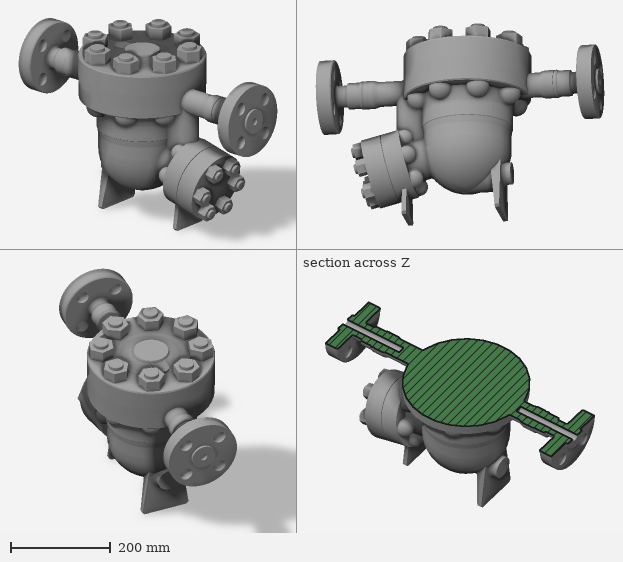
import cadquery as cq
import math


edge_tolerance = 0.01

flange_dia = 258.0
cover_top = 70.0
joint_z = 29.0
flange_bottom = -23.0
flange_draft = 1.0
cover_chamfer = 3.0
flange_chamfer = 2.5
neck_radius = 92.0
neck_flare = 4.0
flare_bottom = -52.0
neck_bottom = -84.5
neck_step = 1.0
bowl_radius = 89.0
cone_bottom = -98.5
bowl_top_z = -126.6
bowl_bottom_z = -219.0

pad_dia = 142.0
pad_height = 0.6
dome_foot_radius = 59.5
dome_ring_radius = 48.0
dome_ring_z = 72.3
boss_foot_radius = 37.0
boss_foot_z = 75.0
boss_dia = 70.0
boss_top = 80.0
arm_width = 30.0
arm_reach = 70.0
arm_top = 75.4

main_bolt_count = 8
main_bolt_circle = 200.0
main_nut_flats = 46.0
main_nut_height = 24.0
main_nut_twist = 37.5
main_stud_dia = 30.0
main_stud_top = 101.5
stud_chamfer = 1.0
main_bolt_angles = [(i + 0.5) * 360.0 / main_bolt_count for i in range(main_bolt_count)]
main_boss_radius = 23.0
main_boss_reach = 26.0
main_boss_fillet = 3.0

pipe_mid_x = 15.2
face_half_span = 286.0
raised_face_dia = 50.8
raised_face_height = 5.0
end_flange_dia = 149.0
end_flange_thickness = 30.3
end_flange_chamfer = 2.0
hub_dia = 44.0
hub_fillet = 4.0
hub_length = 21.3
adapter_dia = 53.0
adapter_length = 26.5
adapter_chamfer = 2.0
bead_width = 8.5
bead_height = 2.0
collar_dia = 56.6
collar_length = 20.0
collar_taper = 10.5
pipe_dia = 50.0
pipe_bore = 15.0
bore_depth = 140.0
flange_hole_dia = 26.0
flange_hole_spacing = 72.2

side_tilt = 13.2
side_axis_z = -122.5
side_origin = cq.Vector(0, 0, side_axis_z)
side_axis = cq.Vector(math.cos(math.radians(side_tilt)), 0, -math.sin(math.radians(side_tilt)))
side_dia = 142.0
side_neck_dia = 83.0
side_root_fillet = 7.0
side_flange_back = 123.0
side_joint = 160.5
side_gap = 1.5
side_gasket_dia = 136.0
side_cover_end = 202.2
side_bolt_count = 6
side_bolt_circle = 103.0
side_nut_flats = 30.0
side_nut_height = 19.0
side_stud_dia = 20.0
side_stud_height = 24.5
side_boss_radius = 18.0
side_boss_reach = 24.0
side_boss_fillet = 3.0

riser_radius = 23.0
riser_centre_x = 121.3
riser_fillet = 4.0
riser_bottom = -150.0
riser_shoulder_z = -7.6
riser_top = 24.0
riser_taper = 16.6

drain_z = -184.5
drain_boss_dia = 70.0
drain_fillet = 9.5
drain_plug_dia = 45.0
drain_plug_x = -91.4
leg_bottom = -269.5
leg_draft = 8.2
leg_corner = 5.0
left_leg_x = -74.0
left_leg_width = 101.0
left_leg_foot = 9.5
left_leg_root = 19.0
left_leg_root_z = -189.0
left_leg_top = -155.0
right_leg_x = 118.3
right_leg_width = 83.0
right_leg_thickness = 9.2
right_leg_top = -195.0


def disc(diameter, bottom, top):
    return cq.Workplane("XY").workplane(offset=bottom).circle(diameter / 2).extrude(top - bottom)


def hexagon_prism(flats, height):
    corner_dia = flats / math.cos(math.pi / 6)
    return cq.Workplane("XY").polygon(6, corner_dia).extrude(height)


def on_circle(shape, circle_dia, angle):
    return shape.translate((circle_dia / 2, 0, 0)).rotate((0, 0, 0), (0, 0, 1), angle)


def add_bosses(body, face_z, radius, reach, circle_dia, angles, fillet):
    """Hang round-ended bosses below the face at face_z and blend them into the neck beside them."""
    waist_z = face_z - reach + radius
    boss = (
        disc(2 * radius, waist_z, face_z)
        .union(cq.Workplane("XY").sphere(radius).translate((0, 0, waist_z)))
    )
    above_face = disc(4 * radius, face_z, face_z + 2 * radius)
    boss = boss.cut(above_face)
    for angle in angles:
        body = body.union(on_circle(boss, circle_dia, angle))

    def is_blend(edge):
        box = edge.BoundingBox()
        below_face = box.zmax < face_z + edge_tolerance
        return edge.geomType() == "BSPLINE" and below_face and box.zmin > face_z - reach

    blends = [edge for edge in body.edges().vals() if is_blend(edge)]
    return cq.Workplane(body.val().fillet(fillet, blends))


def bowl_body():
    flange_radius = flange_dia / 2
    low_radius = flange_radius - flange_draft
    depth = bowl_top_z - bowl_bottom_z
    arc_radius = (bowl_radius ** 2 + depth ** 2) / (2 * depth)
    arc_middle = (arc_radius * math.sqrt(0.5), bowl_bottom_z + arc_radius * (1 - math.sqrt(0.5)))
    body = (
        cq.Workplane("XZ")
        .moveTo(0, joint_z)
        .lineTo(flange_radius, joint_z)
        .lineTo(low_radius, flange_bottom + flange_chamfer)
        .lineTo(low_radius - flange_chamfer, flange_bottom)
        .lineTo(neck_radius + neck_flare, flange_bottom)
        .lineTo(neck_radius, flare_bottom)
        .lineTo(neck_radius, neck_bottom)
        .lineTo(neck_radius - neck_step, neck_bottom - neck_step)
        .lineTo(bowl_radius, cone_bottom)
        .lineTo(bowl_radius, bowl_top_z)
        .threePointArc(arc_middle, (0, bowl_bottom_z))
        .close()
        .revolve(360, (0, 0, 0), (0, 1, 0))
    )
    return add_bosses(
        body, flange_bottom, main_boss_radius, main_boss_reach,
        main_bolt_circle, main_bolt_angles, main_boss_fillet,
    )


def main_cover():
    pad_z = cover_top + pad_height
    flange_radius = flange_dia / 2
    cover = (
        cq.Workplane("XZ")
        .moveTo(0, joint_z)
        .lineTo(flange_radius, joint_z)
        .lineTo(flange_radius, cover_top - cover_chamfer)
        .lineTo(flange_radius - cover_chamfer / 2, cover_top)
        .lineTo(pad_dia / 2, cover_top)
        .lineTo(pad_dia / 2, pad_z)
        .lineTo(dome_foot_radius, pad_z)
        .lineTo(dome_ring_radius, dome_ring_z)
        .lineTo(boss_foot_radius, boss_foot_z)
        .lineTo(boss_dia / 2, boss_top)
        .lineTo(0, boss_top)
        .close()
        .revolve(360, (0, 0, 0), (0, 1, 0))
    )
    arm_half = arm_width / 2
    arm = (
        cq.Workplane("XY")
        .workplane(offset=cover_top)
        .moveTo(0, -arm_half)
        .lineTo(arm_half - arm_reach, -arm_half)
        .threePointArc((-arm_reach, 0), (arm_half - arm_reach, arm_half))
        .lineTo(0, arm_half)
        .close()
        .extrude(arm_top - cover_top)
    )
    return cover.union(arm)


def main_bolting():
    nut = hexagon_prism(main_nut_flats, main_nut_height)
    nut = nut.rotate((0, 0, 0), (0, 0, 1), main_nut_twist)
    stud = disc(main_stud_dia, 0, main_stud_top - cover_top)
    stud = stud.faces(">Z").chamfer(stud_chamfer)
    fastener = nut.union(stud).translate((0, 0, cover_top))
    return [on_circle(fastener, main_bolt_circle, angle) for angle in main_bolt_angles]


def pipe_end():
    """Pipe with its end flange along +X, revolved about the pipe axis."""
    flange_face = face_half_span - raised_face_height
    flange_back = flange_face - end_flange_thickness
    hub_end = flange_back - hub_length
    adapter_end = hub_end - adapter_length
    collar_outer = adapter_end - bead_width
    collar_inner = collar_outer - collar_length
    collar_start = collar_inner - collar_taper
    flange_radius = end_flange_dia / 2
    hub_radius = hub_dia / 2
    adapter_radius = adapter_dia / 2
    bead_mid_radius = adapter_radius + bead_height
    solid = (
        cq.Workplane("XY")
        .moveTo(riser_centre_x - pipe_mid_x, 0)
        .lineTo(face_half_span, 0)
        .lineTo(face_half_span, raised_face_dia / 2)
        .lineTo(flange_face, raised_face_dia / 2)
        .lineTo(flange_face, flange_radius)
        .lineTo(flange_back + end_flange_chamfer, flange_radius)
        .lineTo(flange_back, flange_radius - end_flange_chamfer)
        .lineTo(flange_back, hub_radius + hub_fillet)
        .radiusArc((flange_back - hub_fillet, hub_radius), hub_fillet)
        .lineTo(hub_end, hub_radius)
        .lineTo(hub_end - adapter_chamfer, adapter_radius)
        .lineTo(adapter_end, adapter_radius)
        .threePointArc((adapter_end - bead_width / 2, bead_mid_radius), (collar_outer, adapter_radius))
        .lineTo(collar_outer, collar_dia / 2)
        .lineTo(collar_inner, collar_dia / 2)
        .lineTo(collar_start, pipe_dia / 2)
        .lineTo(riser_centre_x - pipe_mid_x, pipe_dia / 2)
        .close()
        .revolve(360, (0, 0, 0), (1, 0, 0))
    )
    holes = (
        cq.Workplane("YZ")
        .workplane(offset=flange_back)
        .rect(flange_hole_spacing, flange_hole_spacing, forConstruction=True)
        .vertices()
        .circle(flange_hole_dia / 2)
        .extrude(end_flange_thickness)
    )
    bore = (
        cq.Workplane("YZ")
        .workplane(offset=face_half_span - bore_depth)
        .circle(pipe_bore / 2)
        .extrude(bore_depth)
    )
    return solid.cut(holes).cut(bore)


def pipes():
    right = pipe_end()
    left = right.mirror("YZ")
    return [p.translate((pipe_mid_x, 0, 0)) for p in (left, right)]


def side_outlet():
    """Neck, flange, cover and bolting, built along local Z and then tilted."""
    neck = disc(side_neck_dia, 0, side_flange_back)
    cover_start = side_joint + side_gap
    flange = disc(side_dia, side_flange_back, side_joint)
    gasket = disc(side_gasket_dia, side_joint, cover_start)
    cover = disc(side_dia, cover_start, side_cover_end)
    outlet = neck.union(flange).union(gasket).union(cover)
    nut = hexagon_prism(side_nut_flats, side_nut_height)
    stud = disc(side_stud_dia, 0, side_stud_height)
    stud = stud.faces(">Z").chamfer(stud_chamfer)
    fastener = nut.union(stud).translate((0, 0, side_cover_end))
    angles = [i * 360.0 / side_bolt_count for i in range(side_bolt_count)]
    outlet = add_bosses(
        outlet, side_flange_back, side_boss_radius, side_boss_reach,
        side_bolt_circle, angles, side_boss_fillet,
    )
    for angle in angles:
        outlet = outlet.union(on_circle(fastener, side_bolt_circle, angle))
    frame = cq.Plane(side_origin.toTuple(), (0, 1, 0), side_axis.toTuple())
    return cq.Workplane(outlet.val().moved(cq.Location(frame)))


def join_side_outlet(body):
    """Add the side outlet and blend its neck into the bowl."""
    joined = body.union(side_outlet())

    def is_root(edge):
        if edge.geomType() != "BSPLINE":
            return False
        offsets = [point - side_origin for point in edge.positions([0.2, 0.5, 0.8])]
        heights = [offset.dot(side_axis) for offset in offsets]
        radii = [(offset - side_axis * height).Length for offset, height in zip(offsets, heights)]
        on_neck = all(abs(radius - side_neck_dia / 2) < edge_tolerance for radius in radii)
        return on_neck and max(heights) < side_flange_back - side_boss_reach

    roots = [edge for edge in joined.edges().vals() if is_root(edge)]
    return cq.Workplane(joined.val().fillet(side_root_fillet, roots))


def riser():
    def outline(z):
        return (
            cq.Workplane("XY").workplane(offset=z)
            .moveTo(0, -riser_radius)
            .lineTo(riser_centre_x, -riser_radius)
            .threePointArc((riser_centre_x + riser_radius, 0), (riser_centre_x, riser_radius))
            .lineTo(0, riser_radius)
            .close()
        )

    column = outline(riser_bottom).extrude(riser_shoulder_z - riser_bottom)
    cap = outline(riser_shoulder_z).extrude(riser_top - riser_shoulder_z, taper=riser_taper)
    return column.union(cap)


def join_riser(body):
    """Add the riser and blend its upright sides into the cylindrical neck."""
    joined = body.union(riser())

    def is_root(edge):
        centre = edge.Center()
        beside_neck = neck_bottom < centre.z < flare_bottom and 0 < centre.x < neck_radius
        on_side = abs(abs(centre.y) - riser_radius) < edge_tolerance
        return edge.geomType() == "LINE" and beside_neck and on_side

    roots = [edge for edge in joined.edges().vals() if is_root(edge)]
    return cq.Workplane(joined.val().fillet(riser_fillet, roots))


def drain():
    inner_x = left_leg_x + left_leg_foot / 2
    plug_radius = drain_plug_dia / 2
    profile = (
        cq.Workplane("XZ")
        .lineTo(0, drain_boss_dia / 2)
        .lineTo(inner_x, drain_boss_dia / 2)
        .lineTo(inner_x, plug_radius + drain_fillet)
        .lineTo(left_leg_x, plug_radius + drain_fillet)
        .radiusArc((left_leg_x - drain_fillet, plug_radius), drain_fillet)
        .lineTo(drain_plug_x, plug_radius)
        .lineTo(drain_plug_x, 0)
        .close()
    )
    return profile.revolve(360, (0, 0, 0), (1, 0, 0)).translate((0, 0, drain_z))


def leg_blank(x, thickness, bottom_width, top):
    half = bottom_width / 2
    top_half = half - (top - leg_bottom) * math.tan(math.radians(leg_draft))
    return (
        cq.Workplane("YZ")
        .workplane(offset=x)
        .moveTo(-half + leg_corner, leg_bottom)
        .lineTo(half - leg_corner, leg_bottom)
        .lineTo(half, leg_bottom + leg_corner)
        .lineTo(top_half, top)
        .lineTo(-top_half, top)
        .lineTo(-half, leg_bottom + leg_corner)
        .close()
        .extrude(thickness)
    )


def left_leg():
    foot_top = leg_bottom + leg_corner
    wedge = (
        cq.Workplane("XZ")
        .moveTo(left_leg_x, leg_bottom)
        .lineTo(left_leg_x + left_leg_foot, leg_bottom)
        .lineTo(left_leg_x + left_leg_foot, foot_top)
        .lineTo(left_leg_x + left_leg_root, left_leg_root_z)
        .lineTo(left_leg_x + left_leg_root, left_leg_top)
        .lineTo(left_leg_x, left_leg_top)
        .close()
        .extrude(left_leg_width / 2, both=True)
    )
    return leg_blank(left_leg_x, left_leg_root, left_leg_width, left_leg_top).intersect(wedge)


def right_leg():
    return leg_blank(right_leg_x, right_leg_thickness, right_leg_width, right_leg_top)


result = join_riser(join_side_outlet(bowl_body()))
for part in [main_cover(), drain(), left_leg(), right_leg()] + main_bolting() + pipes():
    result = result.union(part)